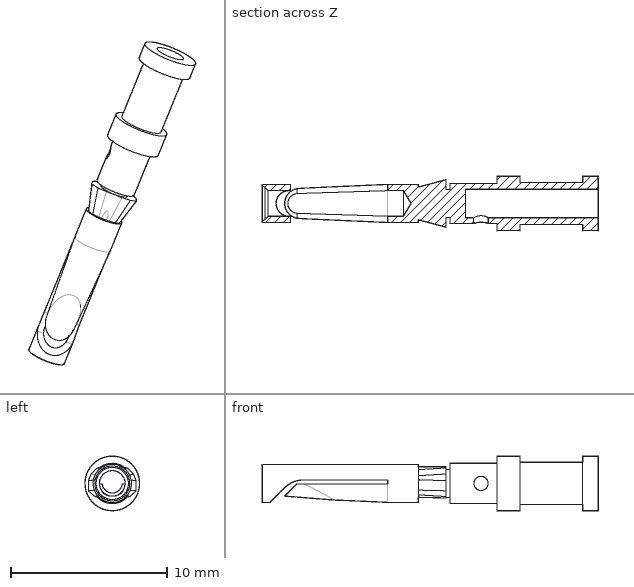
import cadquery as cq
import math

length = 21.5
tube_end = 10.0
collar_end = 11.75
neck_end = 12.0
flange_start = 15.0
flange_end = 16.5
end_rim_start = 20.5

tube_radius = 1.23
neck_radius = 0.9
body_radius = 1.3
barrel_radius = 1.35
flange_radius = 1.752

bore_radius = 0.82
bore_depth = 9.03
bore_tip_angle = 118.0
mouth_radius = 1.12
mouth_depth = 0.17
lead_in_radius = 1.03
lead_in_depth = 0.39

slot_top = 0.22
slot_end = 8.02
lead_start = 0.5
lead_blend = 0.7

tongue_top = -0.02
tongue_corner = 2.24
tongue_tip_x = 1.3
tongue_tip_radius = 0.92
tongue_inner_tip_radius = 0.6
nose_tip_radius = 0.88
nose_slope = 0.08
nose_lift = 0.075

collar_front_half = [
    (0.25, 1.08), (0.7, 0.88), (0.97, 0.5), (1.05, 0.24),
    (1.05, -0.43), (0.77, -0.73), (0.37, -0.88),
]
collar_rear_half = [
    (0.54, 1.08), (0.97, 0.99), (1.35, 0.6), (1.53, 0.17),
    (1.53, -0.47), (1.12, -0.84), (0.54, -0.95),
]

crimp_radius = 0.9
crimp_start = 13.0
inspection_x = 14.0
inspection_radius = 0.45


def cylinder(start, end, radius):
    return cq.Workplane("YZ", origin=(start, 0, 0)).circle(radius).extrude(end - start)


def cone(start, end, start_radius, end_radius, lift=0.0):
    """Frustum along X, its axis raised by lift."""
    solid = cq.Solid.makeCone(
        start_radius, end_radius, end - start, cq.Vector(start, 0, lift), cq.Vector(1, 0, 0)
    )
    return cq.Workplane(solid)


def slab(outline):
    """Extrude a closed XZ outline across the whole width of the part."""
    return outline.close().extrude(flange_radius, both=True)


def socket_bore():
    tip_length = bore_radius / math.tan(math.radians(bore_tip_angle / 2))
    bore = cylinder(0, bore_depth, bore_radius)
    tip = cone(bore_depth, bore_depth + tip_length, bore_radius, 0)
    mouth = cone(0, mouth_depth, mouth_radius, lead_in_radius)
    lead_in = cone(mouth_depth, lead_in_depth, lead_in_radius, bore_radius)
    return bore.union(tip).union(mouth).union(lead_in)


def tube_opening():
    corner_x = lead_start + tube_radius + slot_top
    lead_angle = math.radians(45)
    blend_radius = lead_blend / math.tan(lead_angle / 2)
    blend_end = corner_x + lead_blend
    arc_middle = (
        blend_end - blend_radius * math.sin(lead_angle / 2),
        slot_top - blend_radius * (1 - math.cos(lead_angle / 2)),
    )
    diagonal = lead_blend * math.cos(lead_angle)
    floor = -flange_radius
    return slab(
        cq.Workplane("XZ")
        .moveTo(lead_start + tube_radius + floor, floor)
        .lineTo(corner_x - diagonal, slot_top - diagonal)
        .threePointArc(arc_middle, (blend_end, slot_top))
        .lineTo(slot_end, slot_top)
        .lineTo(slot_end, floor)
    )


def spring_tongue():
    nose_end_radius = nose_tip_radius + nose_slope * (slot_end - tongue_tip_x)
    outside = cone(tongue_tip_x, slot_end, tongue_tip_radius, tube_radius)
    nose = cone(tongue_tip_x, slot_end, nose_tip_radius, nose_end_radius, nose_lift)
    inside = cone(tongue_tip_x, slot_end, tongue_inner_tip_radius, bore_radius)
    floor = -flange_radius
    window = slab(
        cq.Workplane("XZ")
        .moveTo(tongue_corner + floor - tongue_top, floor)
        .lineTo(tongue_corner, tongue_top)
        .lineTo(slot_end, tongue_top)
        .lineTo(slot_end, floor)
    )
    return outside.intersect(nose).cut(inside).intersect(window)


def full_section(half):
    """Mirror a half section across the part's vertical middle plane."""
    return half + [(-y, z) for y, z in reversed(half)]


def retaining_collar():
    return (
        cq.Workplane("YZ", origin=(tube_end, 0, 0))
        .polyline(full_section(collar_front_half)).close()
        .workplane(offset=collar_end - tube_end)
        .polyline(full_section(collar_rear_half)).close()
        .loft(ruled=True)
    )


def rear_barrel():
    barrel = cylinder(neck_end, flange_start, body_radius)
    barrel = barrel.union(cylinder(flange_start, flange_end, flange_radius))
    barrel = barrel.union(cylinder(flange_end, end_rim_start, barrel_radius))
    barrel = barrel.union(cylinder(end_rim_start, length, flange_radius))
    inspection = (
        cq.Workplane("XZ", origin=(inspection_x, 0, 0)).circle(inspection_radius).extrude(flange_radius)
    )
    return barrel.cut(cylinder(crimp_start, length, crimp_radius)).cut(inspection)


tube = cylinder(0, tube_end, tube_radius).cut(socket_bore()).cut(tube_opening())
neck = cylinder(tube_end, neck_end, neck_radius)

result = tube.union(spring_tongue()).union(neck).union(retaining_collar()).union(rear_barrel())